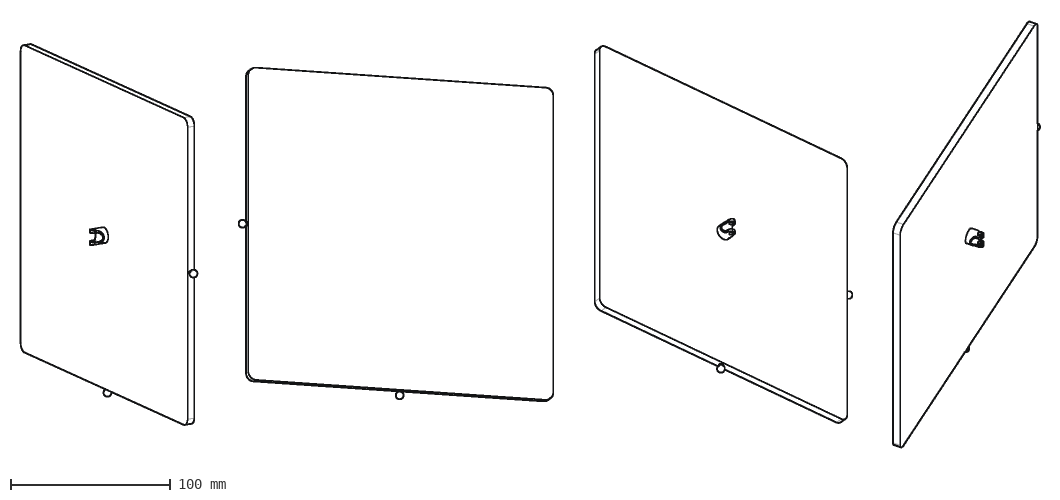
import cadquery as cq

PLATE_SIDE = 200.0
PLATE_THICKNESS = 5.0
CORNER_RADIUS = 5.0
HALF_SIDE = PLATE_SIDE / 2
FRONT_FACE_Y = -PLATE_THICKNESS / 2

BALL_RADIUS = PLATE_THICKNESS / 2
BALL_CENTRE_OFFSET = 3.0
NECK_DIAMETER = 2.5

LUG_DIAMETER = 10.0
LUG_RADIUS = LUG_DIAMETER / 2
LUG_LENGTH = 10.0
SHOULDER_DEPTH = 3.0
PRONG_WIDTH = 5.0
PRONG_TIP_RADIUS = PRONG_WIDTH / 2
PIN_HOLE_DIAMETER = 2.5
PIN_DEPTH = LUG_LENGTH - PRONG_TIP_RADIUS
TAPER_LENGTH = LUG_RADIUS - PRONG_WIDTH / 2
SLOT_WIDTH = 6.0
SLOT_FLOOR_DEPTH = 3.5


def lug_y(depth):
    """Y position at a given depth outwards from the front face."""
    return FRONT_FACE_Y - depth


def make_plate():
    plate = cq.Workplane("XY").box(PLATE_SIDE, PLATE_THICKNESS, PLATE_SIDE)
    return plate.edges("|Y").fillet(CORNER_RADIUS)


def make_ball_stud(edge_plane):
    """Ball on a short neck, growing along the normal of a plane on the plate edge."""
    neck = cq.Workplane(edge_plane).circle(NECK_DIAMETER / 2).extrude(BALL_CENTRE_OFFSET)
    ball_centre = edge_plane.toWorldCoords((0, 0, BALL_CENTRE_OFFSET))
    ball = cq.Workplane("XZ", origin=ball_centre.toTuple()).sphere(BALL_RADIUS)
    return neck.union(ball)


def make_lug_profile():
    """Side outline of the lug in XY: wide base, tapered shoulders, rounded tip."""
    prong_half = PRONG_WIDTH / 2
    base_y = lug_y(0)
    shoulder_y = lug_y(SHOULDER_DEPTH)
    prong_y = lug_y(SHOULDER_DEPTH + TAPER_LENGTH)
    pin_y = lug_y(PIN_DEPTH)
    outline = (
        cq.Workplane("XY")
        .moveTo(-LUG_RADIUS, base_y)
        .lineTo(-LUG_RADIUS, shoulder_y)
        .lineTo(-prong_half, prong_y)
        .lineTo(-prong_half, pin_y)
        .threePointArc((0, lug_y(LUG_LENGTH)), (prong_half, pin_y))
        .lineTo(prong_half, prong_y)
        .lineTo(LUG_RADIUS, shoulder_y)
        .lineTo(LUG_RADIUS, base_y)
        .close()
    )
    return outline.extrude(LUG_RADIUS, both=True)


def make_slot():
    """Round-bottomed slot along X that splits the lug into two prongs."""
    half_width = SLOT_WIDTH / 2
    round_y = lug_y(SLOT_FLOOR_DEPTH + half_width)
    outline = (
        cq.Workplane("YZ")
        .moveTo(lug_y(LUG_LENGTH), -half_width)
        .lineTo(round_y, -half_width)
        .threePointArc((lug_y(SLOT_FLOOR_DEPTH), 0), (round_y, half_width))
        .lineTo(lug_y(LUG_LENGTH), half_width)
        .close()
    )
    return outline.extrude(LUG_RADIUS, both=True)


def make_lug():
    cylinder = (
        cq.Workplane("XZ", origin=(0, FRONT_FACE_Y, 0)).circle(LUG_RADIUS).extrude(LUG_LENGTH)
    )
    pin_hole = (
        cq.Workplane("XY")
        .center(0, lug_y(PIN_DEPTH))
        .circle(PIN_HOLE_DIAMETER / 2)
        .extrude(LUG_RADIUS, both=True)
    )
    return cylinder.intersect(make_lug_profile()).cut(make_slot()).cut(pin_hole)


right_edge = cq.Plane(origin=(HALF_SIDE, 0, 0), xDir=(0, 1, 0), normal=(1, 0, 0))
bottom_edge = cq.Plane(origin=(0, 0, -HALF_SIDE), xDir=(1, 0, 0), normal=(0, 0, -1))

result = make_plate().union(make_lug())
for stud_plane in (right_edge, bottom_edge):
    result = result.union(make_ball_stud(stud_plane))